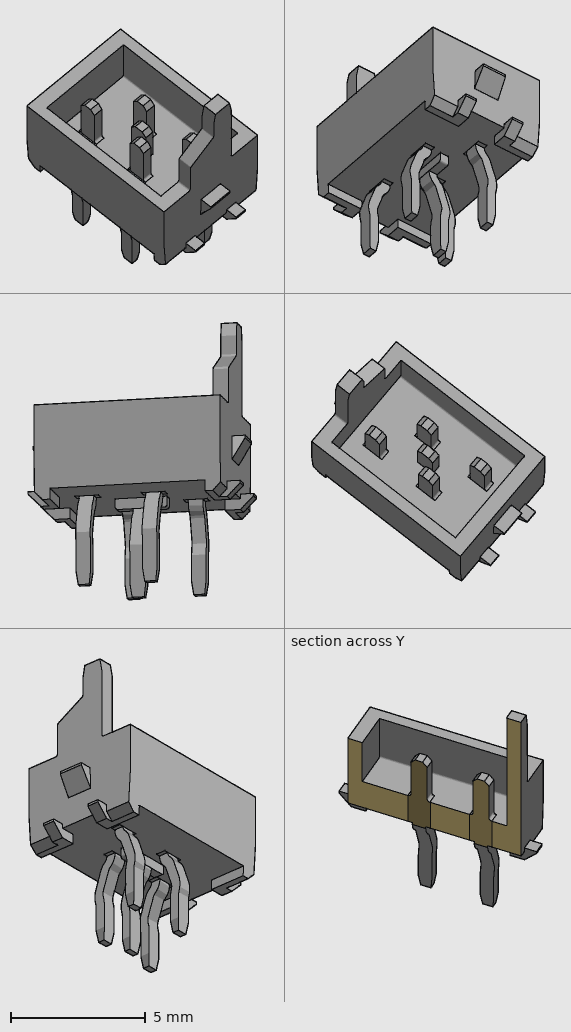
import cadquery as cq
import math


HOUSING_X = 7.11
HOUSING_Y = 5.0
HOUSING_TOP = 3.2
END_WALL = 0.6
SIDE_WALL = 0.45
FLOOR_TOP = 1.29
DRAFT_TOP = 1.2
FLOOR_FILLET = 0.09
SIDE_DRAFT = 0.1
HALF_X = HOUSING_X / 2
HALF_Y = HOUSING_Y / 2

FOOT_DROP = 0.41
FOOT_CHAMFER = 0.3
FOOT_GAP_Y = 1.68
HOOK_Y = 0.49
HOOK_TOP = 0.18

OVERALL_X = 8.11
CATCH_REACH = (OVERALL_X - HOUSING_X) / 2
CATCH_LIP = 0.09
SNAP_TOP = 2.09
SNAP_BOTTOM = DRAFT_TOP
SNAP_TOP_Y = 1.03
SNAP_BOTTOM_Y = 1.09

LATCH_TOP = 6.59
LATCH_HALF_Y = 1.09
LATCH_TIP_FRONT_Y = 0.16
LATCH_TIP_TAPER_Y = 0.09
LATCH_TIP_TAPER_Z = 0.51
LATCH_RAMP_TOP = 5.3
LATCH_RAMP_SLOPE = 30
LATCH_FILLET = 0.1

PITCH = 1.27
ROW_Y = 0.75
PIN_THICK = 0.41
PIN_TAIL_X = 0.56
PIN_BLADE_X = 0.68
PIN_SHOULDER_X = 0.9
SHOULDER_FILLET = 0.1
PIN_TOP = 3.15
BLADE_CHAMFER = 0.19
PIN_PLACES = [
    (-1.5 * PITCH, -1),
    (-0.5 * PITCH, 1),
    (0.5 * PITCH, -1),
    (1.5 * PITCH, 1),
]

CENTRE_THICK = 0.38
CENTRE_TAIL_X = 0.6
CENTRE_BLADE_X = 0.74
CENTRE_TOP = 2.84
BAR_X = 1.98
BAR_TOP = FLOOR_TOP / 2
BAR_FILLET = 0.1

TAIL_LENGTH = 3.5
TIP_LENGTH = 0.49
TIP_TAPER = 0.068
LEAN_STRAIGHT_Z = 0.7
STRAIGHT = math.inf
TAIL_BENDS = [
    (0.5, 48),
    (0.51, 19),
    (STRAIGHT, 19),
    (0.81, -15.5),
    (0.88, 0),
]


def box(x_range, y_range, z_range):
    """Box from its three coordinate ranges."""
    size = [high - low for low, high in (x_range, y_range, z_range)]
    return cq.Workplane("XY").box(*size, centered=False).translate((x_range[0], y_range[0], z_range[0]))


def plate(x, y, z_range):
    """Box centred on the Z axis."""
    return box((-x / 2, x / 2), (-y / 2, y / 2), z_range)


def both_ends(body):
    """The body on the +X end together with its mirror image on the -X end."""
    return body.union(body.mirror("YZ"))



def shell():
    """Outer block with drafted lower sides and chamfered bottom ends."""
    foot_y = HALF_Y - SIDE_DRAFT
    outline = [
        (-foot_y, -FOOT_DROP),
        (foot_y, -FOOT_DROP),
        (HALF_Y, DRAFT_TOP),
        (HALF_Y, HOUSING_TOP),
        (-HALF_Y, HOUSING_TOP),
        (-HALF_Y, DRAFT_TOP),
    ]
    block = cq.Workplane("YZ").polyline(outline).close().extrude(HALF_X, both=True)
    return block.faces("<Z").edges("|Y").chamfer(FOOT_CHAMFER)


def cavity():
    """Open-topped cavity, rounded along the long sides of its floor."""
    pocket = plate(HOUSING_X - 2 * END_WALL, HOUSING_Y - 2 * SIDE_WALL, (FLOOR_TOP, HOUSING_TOP))
    return pocket.faces("<Z").edges("|X").fillet(FLOOR_FILLET)


def foot_clearance():
    """Cross-shaped space under the floor that leaves the four corner feet."""
    below = (-FOOT_DROP, 0)
    lengthwise = plate(HOUSING_X, FOOT_GAP_Y, below)
    crosswise = plate(HOUSING_X - 2 * END_WALL, HOUSING_Y, below)
    return lengthwise.union(crosswise)


def catch_profile(inner_x, bottom, top):
    """Wedge in XZ that reaches out from the end wall and slopes back to it at the bottom."""
    outer_x = HALF_X + CATCH_REACH
    outline = [
        (inner_x, bottom),
        (HALF_X, bottom),
        (outer_x, top - CATCH_LIP),
        (outer_x, top),
        (inner_x, top),
    ]
    return cq.Workplane("XZ").polyline(outline).close()


def snap():
    """Snap wedge whose sides spread slightly downwards."""
    wedge = catch_profile(HALF_X - END_WALL / 2, SNAP_BOTTOM, SNAP_TOP).extrude(SNAP_BOTTOM_Y, both=True)
    sides = [
        (-SNAP_BOTTOM_Y / 2, SNAP_BOTTOM),
        (SNAP_BOTTOM_Y / 2, SNAP_BOTTOM),
        (SNAP_TOP_Y / 2, SNAP_TOP),
        (-SNAP_TOP_Y / 2, SNAP_TOP),
    ]
    return wedge.intersect(cq.Workplane("YZ").polyline(sides).close().extrude(HOUSING_X))


def hooks():
    """Pair of hooks on the inner sides of the two feet of one end."""
    hook = catch_profile(HALF_X - END_WALL, -FOOT_DROP, HOOK_TOP).extrude(HOOK_Y)
    front_hook = hook.translate((0, -FOOT_GAP_Y / 2, 0))
    return front_hook.union(front_hook.mirror("XZ"))


def latch():
    """Stepped arm, as thick as the end wall, with a ramp on its front side."""
    ramp_drop = (LATCH_HALF_Y + LATCH_TIP_FRONT_Y) * math.tan(math.radians(LATCH_RAMP_SLOPE))
    ramp_bottom = LATCH_RAMP_TOP - ramp_drop
    taper_start = LATCH_TOP - LATCH_TIP_TAPER_Z
    outline = [
        (LATCH_HALF_Y, HOUSING_TOP),
        (LATCH_HALF_Y, taper_start),
        (LATCH_HALF_Y - LATCH_TIP_TAPER_Y, LATCH_TOP),
        (LATCH_TIP_FRONT_Y + LATCH_TIP_TAPER_Y, LATCH_TOP),
        (LATCH_TIP_FRONT_Y, taper_start),
        (LATCH_TIP_FRONT_Y, LATCH_RAMP_TOP),
        (-LATCH_HALF_Y, ramp_bottom),
        (-LATCH_HALF_Y, HOUSING_TOP),
    ]
    inner_face = cq.Workplane("YZ", origin=(HALF_X - END_WALL, 0, 0))
    arm = inner_face.polyline(outline).close().extrude(END_WALL)
    for y, z in [(LATCH_TIP_FRONT_Y, LATCH_RAMP_TOP), (-LATCH_HALF_Y, ramp_bottom)]:
        corner = cq.NearestToPointSelector((HALF_X - END_WALL / 2, y, z))
        arm = arm.edges(corner).fillet(LATCH_FILLET)
    return arm


def add_latch(body):
    """Latch joined to the end wall with a fillet at each side of its root."""
    body = body.union(latch())
    for y in (-LATCH_HALF_Y, LATCH_HALF_Y):
        root = cq.NearestToPointSelector((HALF_X - END_WALL / 2, y, HOUSING_TOP))
        body = body.edges("|X").edges(root).fillet(LATCH_FILLET)
    return body


def contact_slots():
    """Slots through the floor that fit the pins and the centre contact."""
    slots = plate(CENTRE_BLADE_X, CENTRE_THICK, (0, FLOOR_TOP))
    slots = slots.union(plate(BAR_X, CENTRE_THICK, (0, BAR_TOP)))
    for x, side in PIN_PLACES:
        slot = plate(PIN_SHOULDER_X, PIN_THICK, (0, FLOOR_TOP))
        slots = slots.union(slot.translate((x, side * ROW_Y, 0)))
    return slots


def make_housing():
    body = shell().cut(cavity()).cut(foot_clearance())
    body = body.union(both_ends(snap())).union(both_ends(hooks()))
    return add_latch(body).cut(contact_slots())



def bent_tail(width, thick):
    """Tail hanging from Z = 0: knee, leaning straight part and ankle towards +Y, then a tapered tip."""
    y, z, lean = 0.0, 0.0, 0.0
    path = cq.Workplane("YZ").moveTo(y, z)
    for radius, end_degrees in TAIL_BENDS:
        end_lean = math.radians(end_degrees)
        if radius == STRAIGHT:
            y += LEAN_STRAIGHT_Z * math.tan(lean)
            z -= LEAN_STRAIGHT_Z
            path = path.lineTo(y, z)
        else:
            signed_radius = math.copysign(radius, end_lean - lean)
            y += signed_radius * (math.cos(lean) - math.cos(end_lean))
            z -= signed_radius * (math.sin(end_lean) - math.sin(lean))
            path = path.radiusArc((y, z), -signed_radius)
        lean = end_lean
    tip_start = TIP_LENGTH - TAIL_LENGTH
    path = path.lineTo(y, tip_start)
    strip = cq.Workplane("XY").rect(width, thick).sweep(path)
    tip = (
        cq.Workplane("XY", origin=(0, y, tip_start))
        .rect(width, thick)
        .workplane(offset=-TIP_LENGTH)
        .rect(width - 2 * TIP_TAPER, thick - 2 * TIP_TAPER)
        .loft()
    )
    return strip.union(tip)


def blade(width, thick, bottom, top):
    """Upright mating blade with chamfered top corners."""
    return plate(width, thick, (bottom, top)).faces(">Z").edges("|Y").chamfer(BLADE_CHAMFER)


def make_pin():
    """Signal pin at the origin: a shoulder that fills the floor slot, a blade above and a tail below."""
    shoulder = plate(PIN_SHOULDER_X, PIN_THICK, (0, FLOOR_TOP))
    upright = shoulder.union(blade(PIN_BLADE_X, PIN_THICK, FLOOR_TOP, PIN_TOP))
    for x in (-PIN_BLADE_X / 2, PIN_BLADE_X / 2):
        root = cq.NearestToPointSelector((x, 0, FLOOR_TOP))
        upright = upright.edges("|Y").edges(root).fillet(SHOULDER_FILLET)
    return upright.union(bent_tail(PIN_TAIL_X, PIN_THICK))


def make_signal_pins():
    """One pin per place, turned so that its tail bends away from the middle."""
    pins = []
    for x, side in PIN_PLACES:
        turn = 0 if side > 0 else 180
        pin = make_pin().rotate((0, 0, 0), (0, 0, 1), turn)
        pins.append(pin.translate((x, side * ROW_Y, 0)))
    return pins


def make_centre_blade():
    """Blade above a wide crossbar that stands out below the floor."""
    bar = plate(BAR_X, CENTRE_THICK, (-FOOT_DROP, BAR_TOP))
    bar = bar.faces("<Z").edges("|Y").fillet(BAR_FILLET)
    return bar.union(blade(CENTRE_BLADE_X, CENTRE_THICK, BAR_TOP, CENTRE_TOP))


def make_centre_tail():
    """Tail that hangs from the underside of the crossbar and bends to -Y."""
    tail = bent_tail(CENTRE_TAIL_X, CENTRE_THICK)
    return tail.rotate((0, 0, 0), (0, 0, 1), 180).translate((0, 0, -FOOT_DROP))



housing = make_housing()
signal_pins = make_signal_pins()
centre_blade = make_centre_blade()
centre_tail = make_centre_tail()

result = cq.Compound.makeCompound(
    [
        housing.val(),
        *[pin.val() for pin in signal_pins],
        centre_blade.val(),
        centre_tail.val(),
    ]
)